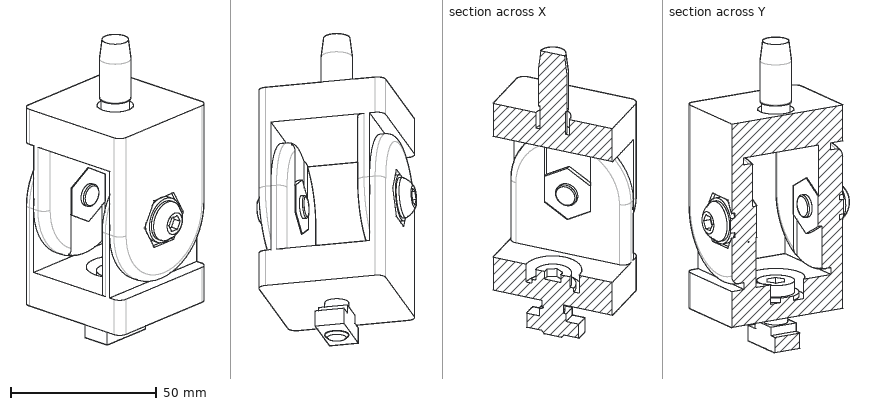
import cadquery as cq
import math

OVERALL_HEIGHT = 110.4
WIDTH = 45.0
HALF_WIDTH = WIDTH / 2
BASE_THICKNESS = 13.0
ARM_THICKNESS = 5.0
DOME_CLEARANCE = 1.0
EDGE_RADIUS = 3.0
HALF_BODY = HALF_WIDTH + DOME_CLEARANCE + BASE_THICKNESS
BODY_BOTTOM = 12.8
PIVOT_HEIGHT = BODY_BOTTOM + HALF_BODY
BODY_TOP = PIVOT_HEIGHT + HALF_BODY
LOWER_BASE_TOP = BODY_BOTTOM + BASE_THICKNESS
BASE_INNER = HALF_BODY - BASE_THICKNESS
INNER_FACE = HALF_WIDTH - 2 * ARM_THICKNESS

HEX_FLATS = 17.3
HEX_RECESS_DEPTH = 1.3
NUT_PROUD = 0.3
WASHER_DIAMETER = 16.0
WASHER_PROUD = 0.4
HEAD_DIAMETER = 14.0
HEAD_SPHERE_RADIUS = 7.7
HEAD_SPAN = 54.9
HEAD_END = HEAD_SPAN / 2
HEAD_FLAT_DIAMETER = 7.7
SOCKET_FLATS = 5.0
SOCKET_DEPTH = 2.8
SCREW_DIAMETER = 8.0
SCREW_END = 10.7
SCREW_CHAMFER = 0.4

COUNTERBORE_DIAMETER = 20.0
COUNTERBORE_DEPTH = 7.0
CAP_HEAD_DIAMETER = 13.0
CAP_HEAD_HEIGHT = 4.1
CAP_WASHER_THICKNESS = 1.5
CAP_SOCKET_FLATS = 6.0
CAP_SOCKET_DEPTH = 3.0
BOLT_DIAMETER = 8.3
BOLT_CHAMFER = 0.9
T_NUT_BOTTOM = 1.1
T_NUT_STEP = 6.7
T_NUT_TOP = 9.7
T_NUT_WIDTH = 10.3
T_NUT_LENGTH = 19.8

STUD_HOLE_DIAMETER = 12.5
STUD_HOLE_DEPTH = 6.1
STUD_NECK_DIAMETER = 9.9
SLEEVE_FOOT_DIAMETER = 10.7
SLEEVE_DIAMETER = 10.9
STUD_TIP_DIAMETER = 9.2
SLEEVE_BOTTOM = 88.5
SLEEVE_CHAMFER = 0.4
TAPER_LENGTH = 7.1


def cylinder(diameter, bottom, top):
    return cq.Workplane("XY").workplane(offset=bottom).circle(diameter / 2).extrude(top - bottom)


def across_corners(flats):
    return flats / math.cos(math.pi / 6)


def hex_along_x(flats, x_start, x_end, corners_along_z=False):
    """Hexagonal prism on the pivot axis, with its corners along Y or along Z."""
    prism = (
        cq.Workplane("YZ").workplane(offset=x_start)
        .polygon(6, across_corners(flats))
        .extrude(x_end - x_start)
    )
    if corners_along_z:
        prism = prism.rotate((0, 0, 0), (1, 0, 0), 90)
    return prism


def arm(x_start, bottom):
    """Domed plate with a rounded rim on its -X face."""
    plate = (
        cq.Workplane("YZ").workplane(offset=x_start)
        .moveTo(-HALF_WIDTH, bottom)
        .lineTo(HALF_WIDTH, bottom)
        .lineTo(HALF_WIDTH, 0)
        .threePointArc((0, HALF_WIDTH), (-HALF_WIDTH, 0))
        .close()
        .extrude(ARM_THICKNESS)
    )
    return plate.edges("<X except <Z").fillet(EDGE_RADIUS)


def fork():
    """Lower fork about the pivot: flush outer arm on -X, inset inner arm on +X."""
    base = (
        cq.Workplane("XY").workplane(offset=-HALF_BODY)
        .rect(WIDTH, WIDTH)
        .extrude(BASE_THICKNESS)
        .edges("|Z").fillet(EDGE_RADIUS)
    )
    outer_recess = hex_along_x(HEX_FLATS, -HALF_WIDTH, -HALF_WIDTH + HEX_RECESS_DEPTH)

    nut_floor = INNER_FACE + HEX_RECESS_DEPTH
    nut_seat = hex_along_x(HEX_FLATS, INNER_FACE, nut_floor, corners_along_z=True)
    nut_slot = (
        cq.Workplane("XY")
        .box(HEX_RECESS_DEPTH, HEX_FLATS, HALF_WIDTH, centered=(False, True, False))
        .translate((INNER_FACE, 0, 0))
    )
    nut = hex_along_x(HEX_FLATS, INNER_FACE - NUT_PROUD, nut_floor, corners_along_z=True)
    return (
        base.union(arm(-HALF_WIDTH, -HALF_BODY))
        .union(arm(INNER_FACE, -BASE_INNER))
        .cut(outer_recess)
        .cut(nut_seat)
        .cut(nut_slot)
        .union(nut)
    )


def pivot_screw():
    """Button-head screw with its washer, head on the -X side."""
    head_base = -HALF_WIDTH - WASHER_PROUD
    sphere_center = -HEAD_END + math.sqrt(HEAD_SPHERE_RADIUS**2 - (HEAD_FLAT_DIAMETER / 2) ** 2)
    dome_start = sphere_center - math.sqrt(HEAD_SPHERE_RADIUS**2 - (HEAD_DIAMETER / 2) ** 2)
    dome_middle = (dome_start - HEAD_END) / 2
    dome_middle_radius = math.sqrt(HEAD_SPHERE_RADIUS**2 - (dome_middle - sphere_center) ** 2)
    recess_floor = -HALF_WIDTH + HEX_RECESS_DEPTH
    screw = (
        cq.Workplane("XY")
        .moveTo(-HEAD_END, 0)
        .lineTo(-HEAD_END, HEAD_FLAT_DIAMETER / 2)
        .threePointArc((dome_middle, dome_middle_radius), (dome_start, HEAD_DIAMETER / 2))
        .lineTo(head_base, HEAD_DIAMETER / 2)
        .lineTo(head_base, WASHER_DIAMETER / 2)
        .lineTo(recess_floor, WASHER_DIAMETER / 2)
        .lineTo(recess_floor, SCREW_DIAMETER / 2)
        .lineTo(-SCREW_END - SCREW_CHAMFER, SCREW_DIAMETER / 2)
        .lineTo(-SCREW_END, SCREW_DIAMETER / 2 - SCREW_CHAMFER)
        .lineTo(-SCREW_END, 0)
        .close()
        .revolve(360, (0, 0, 0), (1, 0, 0))
    )
    return screw.cut(hex_along_x(SOCKET_FLATS, -HEAD_END, -HEAD_END + SOCKET_DEPTH))


def counterbore():
    """Cutter for the screw seat on the inner side of the lower base."""
    return cylinder(COUNTERBORE_DIAMETER, LOWER_BASE_TOP - COUNTERBORE_DEPTH, LOWER_BASE_TOP)


def cap_screw():
    """Socket-head screw with its washer, seated on the counterbore floor."""
    seat = LOWER_BASE_TOP - COUNTERBORE_DEPTH
    head_bottom = seat + CAP_WASHER_THICKNESS
    head_top = head_bottom + CAP_HEAD_HEIGHT
    socket = (
        cq.Workplane("XY").workplane(offset=head_top - CAP_SOCKET_DEPTH)
        .polygon(6, across_corners(CAP_SOCKET_FLATS))
        .extrude(CAP_SOCKET_DEPTH)
    )
    shank = cylinder(BOLT_DIAMETER, 0, seat).faces("<Z").chamfer(BOLT_CHAMFER)
    washer = cylinder(WASHER_DIAMETER, seat, head_bottom)
    head = cylinder(CAP_HEAD_DIAMETER, head_bottom, head_top).cut(socket)
    return head.union(washer).union(shank)


def t_nut():
    """Stepped slot nut, with its wide flange along Y."""
    flange = cq.Workplane("XY").box(
        T_NUT_WIDTH, T_NUT_LENGTH, T_NUT_STEP - T_NUT_BOTTOM, centered=(True, True, False)
    )
    block = cq.Workplane("XY").box(
        T_NUT_WIDTH, T_NUT_WIDTH, T_NUT_TOP - T_NUT_BOTTOM, centered=(True, True, False)
    )
    return flange.union(block).translate((0, 0, T_NUT_BOTTOM))


def stud_hole():
    """Cutter for the clearance hole around the stud neck."""
    return cylinder(STUD_HOLE_DIAMETER, BODY_TOP - STUD_HOLE_DEPTH, BODY_TOP)


def stud():
    """Stud with a thicker, tapered sleeve, standing on the hole floor."""
    hole_floor = BODY_TOP - STUD_HOLE_DEPTH
    return (
        cq.Workplane("XZ")
        .moveTo(0, hole_floor)
        .lineTo(STUD_NECK_DIAMETER / 2, hole_floor)
        .lineTo(STUD_NECK_DIAMETER / 2, SLEEVE_BOTTOM)
        .lineTo(SLEEVE_FOOT_DIAMETER / 2, SLEEVE_BOTTOM)
        .lineTo(SLEEVE_DIAMETER / 2, SLEEVE_BOTTOM + SLEEVE_CHAMFER)
        .lineTo(SLEEVE_DIAMETER / 2, OVERALL_HEIGHT - TAPER_LENGTH)
        .lineTo(STUD_TIP_DIAMETER / 2, OVERALL_HEIGHT)
        .lineTo(0, OVERALL_HEIGHT)
        .close()
        .revolve(360, (0, 0, 0), (0, 1, 0))
    )


lower_half = fork()
upper_half = lower_half.rotate((0, 0, 0), (0, 1, 0), 180)
left_screw = pivot_screw()
right_screw = left_screw.rotate((0, 0, 0), (0, 1, 0), 180)

hinge = lower_half.union(upper_half).union(left_screw).union(right_screw)
hinge = hinge.translate((0, 0, PIVOT_HEIGHT))

result = (
    hinge.cut(counterbore())
    .union(cap_screw())
    .union(t_nut())
    .cut(stud_hole())
    .union(stud())
)